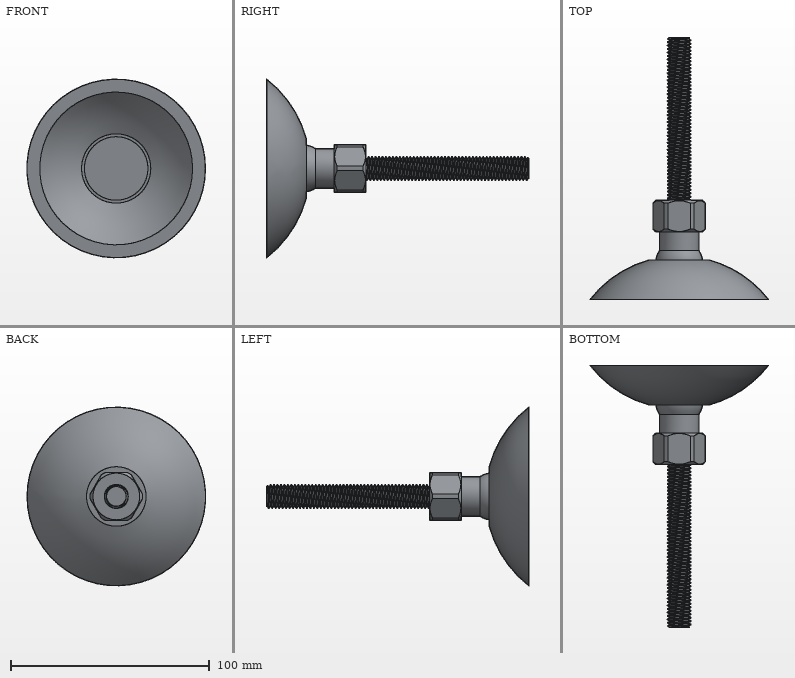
import cadquery as cq
import math


rim_radius = 45.0
dome_height = 20.0
dome_center_y = -35.0
dome_wall = 5.0
ceiling_y = 14.0
dome_radius = math.hypot(rim_radius, dome_center_y)
cavity_radius = dome_radius - dome_wall

ball_radius = 12.0
ball_center_y = 18.0

plug_radius = 16.0
plug_bottom_y = 1.0

neck_radius = 10.0
hex_across_flats = 24.0
hex_corner_radius = 13.25
hex_chamfer = 1.5
hex_bottom_y = 34.0
hex_length = 16.0
hex_top_y = hex_bottom_y + hex_length
hex_turn = 30.0

thread_radius = 6.0
thread_pitch = 1.75
thread_length = 82.0
thread_chamfer = 1.0
thread_depth = 0.613 * thread_pitch
thread_root_radius = thread_radius - thread_depth
crest_width = thread_pitch / 8
flank_half_angle = 30.0
ridge_overlap = 0.1


def rod(radius, bottom_y, top_y):
    """Round solid on the Y axis between two heights."""
    return (
        cq.Workplane("XZ", origin=(0, bottom_y, 0))
        .circle(radius)
        .extrude(bottom_y - top_y)
    )


def ball(radius, center_y):
    """Sphere centred on the Y axis, with its poles on that axis."""
    sphere = cq.Workplane("XY").sphere(radius)
    return sphere.rotate((0, 0, 0), (1, 0, 0), -90).translate((0, center_y, 0))


def make_socket_ball():
    return ball(ball_radius, ball_center_y)


def make_base():
    dome = ball(dome_radius, dome_center_y).intersect(rod(dome_radius, 0, dome_height))
    cavity = ball(cavity_radius, dome_center_y).intersect(rod(cavity_radius, 0, ceiling_y))
    return dome.cut(cavity).cut(make_socket_ball())


def make_plug():
    return rod(plug_radius, plug_bottom_y, ceiling_y).cut(make_socket_ball())


def make_hexagon():
    """Hexagon with corners at +X and -X, turned down and chamfered at both ends."""
    prism = (
        cq.Workplane("XZ", origin=(0, hex_bottom_y, 0))
        .polygon(6, hex_across_flats, circumscribed=True)
        .extrude(-hex_length)
        .rotate((0, 0, 0), (0, 1, 0), hex_turn)
    )
    turned_blank = rod(hex_corner_radius, hex_bottom_y, hex_top_y).faces("<Y or >Y").chamfer(hex_chamfer)
    return prism.intersect(turned_blank)


def make_thread():
    """Right-handed thread whose crest meets the hexagon's top face at +X."""
    ridge_foot_radius = thread_root_radius - ridge_overlap
    crest_half = crest_width / 2
    foot_half = crest_half + (thread_depth + ridge_overlap) * math.tan(math.radians(flank_half_angle))
    start = -thread_pitch
    helix_length = thread_length + 2 * thread_pitch

    helix = cq.Wire.makeHelix(thread_pitch, helix_length, thread_root_radius, cq.Vector(0, 0, start))
    ridge = (
        cq.Workplane("XZ")
        .polyline([
            (ridge_foot_radius, start - foot_half),
            (thread_radius, start - crest_half),
            (thread_radius, start + crest_half),
            (ridge_foot_radius, start + foot_half),
        ])
        .close()
        .sweep(cq.Workplane(obj=helix), isFrenet=True)
    )
    envelope = cq.Workplane("XY").circle(thread_radius + ridge_overlap).extrude(thread_length)
    envelope = envelope.faces(">Z").chamfer(thread_chamfer + ridge_overlap)
    core = cq.Workplane("XY").circle(thread_root_radius).extrude(thread_length)
    thread = core.union(ridge.intersect(envelope))
    return thread.rotate((0, 0, 0), (1, 0, 0), -90).translate((0, hex_top_y, 0))


def make_stud():
    neck = rod(neck_radius, ball_center_y, hex_bottom_y)
    return make_socket_ball().union(neck).union(make_hexagon()).union(make_thread())


base = make_base()
plug = make_plug()
stud = make_stud()

result = cq.Compound.makeCompound([base.val(), plug.val(), stud.val()])